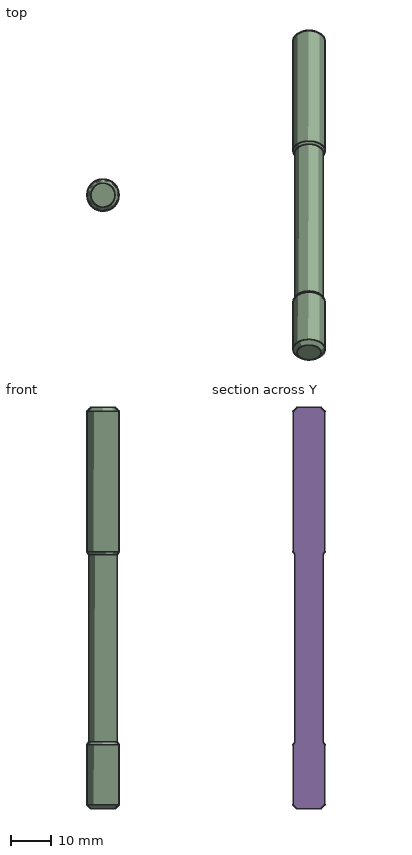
import cadquery as cq
import math

LENGTH = 100.0
END_DIAMETER = 8.0
SHANK_DIAMETER = 7.188
BOTTOM_END_LENGTH = 16.0
TOP_END_LENGTH = 36.0
END_CHAMFER = 1.0
SHOULDER_ANGLE = 30.0

end_radius = END_DIAMETER / 2
shank_radius = SHANK_DIAMETER / 2
tip_radius = end_radius - END_CHAMFER
shoulder_length = (end_radius - shank_radius) / math.tan(math.radians(SHOULDER_ANGLE))
top_end_start = LENGTH - TOP_END_LENGTH


def stud():
    """Double-ended stud: half profile (radius, height) turned about the Z axis."""
    profile = [
        (0, 0),
        (tip_radius, 0),
        (end_radius, END_CHAMFER),
        (end_radius, BOTTOM_END_LENGTH),
        (shank_radius, BOTTOM_END_LENGTH + shoulder_length),
        (shank_radius, top_end_start - shoulder_length),
        (end_radius, top_end_start),
        (end_radius, LENGTH - END_CHAMFER),
        (tip_radius, LENGTH),
        (0, LENGTH),
    ]
    axis_start = (0, 0, 0)
    axis_end = (0, 1, 0)
    return cq.Workplane("XZ").polyline(profile).close().revolve(360, axis_start, axis_end)


result = stud()